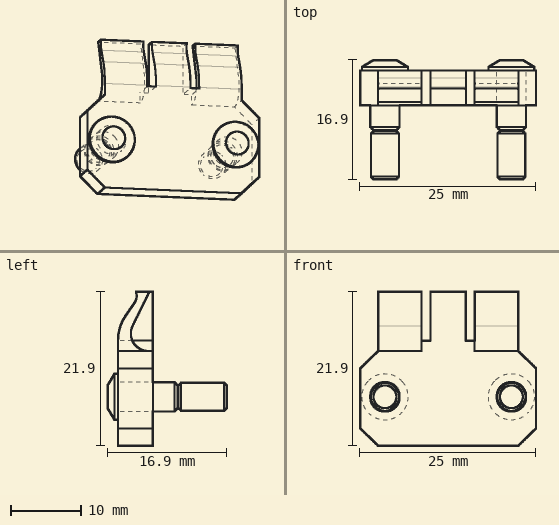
import cadquery as cq
import math

PLATE_WIDTH = 25.0
PLATE_DEPTH = 4.95
PLATE_HEIGHT = 21.88
SHOULDER_Z = 13.45
CORNER_X = 2.55
CORNER_Z = 2.48

MIDDLE_TAB_WIDTH = 5.02
SLOT_WIDTH = 1.25
SLOT_FLOOR_Z = 14.92
TABS_WIDTH = PLATE_WIDTH - 2 * CORNER_X

BACK_SLOPE = 34.4
BULGE_RADIUS = 5.92
BULGE_START_Z = 15.05
HOLLOW_RADIUS = 1.72
HOLLOW_Z = 21.28

GROOVE_RADIUS = 2.48
GROOVE_AXIS_Y = 0.65
GROOVE_SLOPE = 26.2

SCREW_SPACING = 17.95
SCREW_Z = 6.95
HEAD_RADIUS = 3.28
HEAD_TOP_RADIUS = 1.65
HEAD_RIM = 0.5
HEAD_HEIGHT = 1.48
SHANK_RADIUS = 2.1
SHANK_END = 3.05
NECK_RADIUS = 1.65
NECK_LENGTH = 0.18
THREAD_RADIUS = 2.0
TIP_CHAMFER = 0.38
SCREW_REACH = 10.5


def point_on_circle(center, radius, degrees):
    """Point in the YZ plane, with the angle counted from +Y towards +Z."""
    angle = math.radians(degrees)
    return (center[0] + radius * math.cos(angle), center[1] + radius * math.sin(angle))


def back_waste():
    """Material behind the curved back of the tabs."""
    bulge = (PLATE_DEPTH - BULGE_RADIUS, BULGE_START_Z)
    bulge_end = point_on_circle(bulge, BULGE_RADIUS, BACK_SLOPE)
    slope = math.radians(BACK_SLOPE)
    reach = BULGE_RADIUS + HOLLOW_RADIUS
    hollow_y = bulge[0] + (reach - (HOLLOW_Z - BULGE_START_Z) * math.sin(slope)) / math.cos(slope)
    hollow = (hollow_y, HOLLOW_Z)
    hollow_start = point_on_circle(hollow, HOLLOW_RADIUS, 180 + BACK_SLOPE)
    top_angle = 180 - math.degrees(math.asin((PLATE_HEIGHT - HOLLOW_Z) / HOLLOW_RADIUS))
    return (
        cq.Workplane("YZ")
        .moveTo(PLATE_DEPTH, BULGE_START_Z)
        .threePointArc(point_on_circle(bulge, BULGE_RADIUS, BACK_SLOPE / 2), bulge_end)
        .lineTo(*hollow_start)
        .threePointArc(
            point_on_circle(hollow, HOLLOW_RADIUS, 180),
            point_on_circle(hollow, HOLLOW_RADIUS, top_angle),
        )
        .lineTo(PLATE_DEPTH, PLATE_HEIGHT)
        .close()
        .extrude(PLATE_WIDTH / 2, both=True)
    )


def groove_waste(width):
    """Material in front of one side tab: flat floor, round bottom and sloping wall."""
    axis = (GROOVE_AXIS_Y, SHOULDER_Z + GROOVE_RADIUS)
    slope_start = point_on_circle(axis, GROOVE_RADIUS, GROOVE_SLOPE)
    top_y = slope_start[0] - (PLATE_HEIGHT - slope_start[1]) * math.tan(math.radians(GROOVE_SLOPE))
    return (
        cq.Workplane("YZ")
        .moveTo(0, SHOULDER_Z)
        .lineTo(GROOVE_AXIS_Y, SHOULDER_Z)
        .threePointArc(point_on_circle(axis, GROOVE_RADIUS, 0), slope_start)
        .lineTo(top_y, PLATE_HEIGHT)
        .lineTo(0, PLATE_HEIGHT)
        .close()
        .extrude(width / 2, both=True)
    )


def make_plate():
    """Plate with cut corners, curved back, two slots and two grooved side tabs."""
    half = PLATE_WIDTH / 2
    inner = half - CORNER_X
    plate = (
        cq.Workplane("XZ")
        .polyline([
            (-inner, 0), (inner, 0), (half, CORNER_Z), (half, SHOULDER_Z - CORNER_Z),
            (inner, SHOULDER_Z), (inner, PLATE_HEIGHT), (-inner, PLATE_HEIGHT),
            (-inner, SHOULDER_Z), (-half, SHOULDER_Z - CORNER_Z), (-half, CORNER_Z),
        ])
        .close()
        .extrude(-PLATE_DEPTH)
        .cut(back_waste())
    )
    side_tab_inner = MIDDLE_TAB_WIDTH / 2 + SLOT_WIDTH
    side_tab_width = TABS_WIDTH / 2 - side_tab_inner
    for side in (-1, 1):
        slot = cq.Workplane("XY").box(
            SLOT_WIDTH, PLATE_DEPTH, PLATE_HEIGHT - SLOT_FLOOR_Z, centered=(True, False, False)
        )
        slot_x = side * (MIDDLE_TAB_WIDTH + SLOT_WIDTH) / 2
        plate = plate.cut(slot.translate((slot_x, 0, SLOT_FLOOR_Z)))
        groove_x = side * (side_tab_inner + side_tab_width / 2)
        plate = plate.cut(groove_waste(side_tab_width).translate((groove_x, 0, 0)))
    return plate


def make_screw(x):
    """Screw turned about Y, from its conical head through shank and neck to the tip."""
    neck_start = SHANK_END + SHANK_RADIUS - NECK_RADIUS
    neck_end = neck_start + NECK_LENGTH
    thread_start = neck_end + THREAD_RADIUS - NECK_RADIUS
    profile = [
        (0, PLATE_DEPTH + HEAD_HEIGHT), (HEAD_TOP_RADIUS, PLATE_DEPTH + HEAD_HEIGHT),
        (HEAD_RADIUS, PLATE_DEPTH + HEAD_RIM), (HEAD_RADIUS, PLATE_DEPTH),
        (SHANK_RADIUS, PLATE_DEPTH), (SHANK_RADIUS, -SHANK_END),
        (NECK_RADIUS, -neck_start), (NECK_RADIUS, -neck_end), (THREAD_RADIUS, -thread_start),
        (THREAD_RADIUS, TIP_CHAMFER - SCREW_REACH), (THREAD_RADIUS - TIP_CHAMFER, -SCREW_REACH),
        (0, -SCREW_REACH),
    ]
    screw = cq.Workplane("XY").polyline(profile).close().revolve(360, (0, 0, 0), (0, 1, 0))
    return screw.translate((x, 0, SCREW_Z))


fixed_screw = make_screw(-SCREW_SPACING / 2)
loose_screw = make_screw(SCREW_SPACING / 2)
clamp_body = make_plate().union(fixed_screw).cut(loose_screw)

result = cq.Compound.makeCompound([clamp_body.val(), loose_screw.val()])